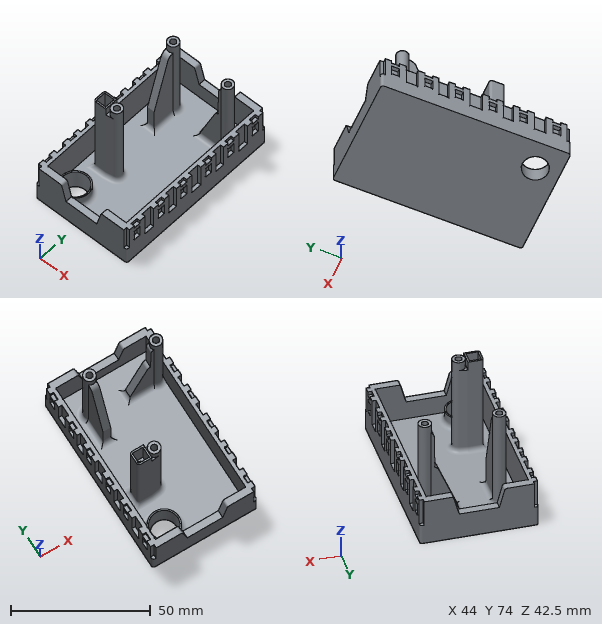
import cadquery as cq
import math

length = 74.0
width = 44.0
wall_top = 18.35
wall = 3.0
floor_top = 3.0
corner_radius = 1.0

gap_bottom = 10.4
gap_bottom_width = 14.9
gap_flare = 15.0
gap_rounding = 1.0

recess_depth = 1.5
groove_bottom = 8.0
groove_sizes = [(0.0, 4.8), (12.6, 4.0), (25.0, 4.5)]
pocket_places = [6.6, 18.5, 31.5]
pocket_width = 3.0
window_bottom = 10.0
window_top = 14.95
notch_bottom = 16.95

post_top = 42.5
post_diameter = 4.9
post_hole_diameter = 2.5
post_hole_depth = 10.0
base_fillet = 2.0

back_post = (-10.95, 24.05)
side_post = (16.4, 23.0)

rib_width = 3.25
rib_top = 39.0
rib_foot_reach = 11.9
back_rib_foot_top = 13.9
back_rib_top_reach = 4.0
back_rib_rounding = 3.0
side_rib_foot_top = 5.1
side_rib_step_reach = 4.2
side_rib_step = 23.5
side_rib_upper_foot_reach = 3.3
side_rib_upper_top_reach = 3.0
side_rib_rounding = 2.0

square_post = (-11.4, -11.7)
square_side = 5.85
square_pocket_side = 4.45
square_pocket_depth = 10.0
square_hole_diameter = 3.0
square_hole_depth = 20.0
twin_post = (-5.8, square_post[1])

ring_center = (square_post[0], -27.7)
ring_diameter = 12.4
ring_top = 8.0
ring_bore_top_diameter = 11.25
ring_bore_diameter = 10.0

selection_margin = 0.1


def block(size_x, size_y, bottom, top, center=(0, 0)):
    return (
        cq.Workplane("XY", origin=(*center, bottom))
        .rect(size_x, size_y)
        .extrude(top - bottom)
    )


def cylinder(diameter, bottom, top, center):
    return cq.Workplane("XY", origin=(*center, bottom)).circle(diameter / 2).extrude(top - bottom)


def cavity():
    return block(width - 2 * wall, length - 2 * wall, floor_top, post_top)


def end_gaps():
    """Flared openings through both end walls, rounded where they meet the wall tops."""
    half_bottom = gap_bottom_width / 2
    half_top = half_bottom + (wall_top - gap_bottom) * math.tan(math.radians(gap_flare))
    rounding_reach = gap_rounding * math.tan(math.radians((90 - gap_flare) / 2))
    slope_x = rounding_reach * math.sin(math.radians(gap_flare))
    slope_z = rounding_reach * math.cos(math.radians(gap_flare))
    center_x = half_top + rounding_reach
    center_z = wall_top - gap_rounding
    middle_angle = math.radians(90 + (90 - gap_flare) / 2)
    arc_x = center_x + gap_rounding * math.cos(middle_angle)
    arc_z = center_z + gap_rounding * math.sin(middle_angle)
    return (
        cq.Workplane("XZ")
        .moveTo(-half_bottom, gap_bottom)
        .lineTo(half_bottom, gap_bottom)
        .lineTo(half_top - slope_x, wall_top - slope_z)
        .threePointArc((arc_x, arc_z), (center_x, wall_top))
        .lineTo(-center_x, wall_top)
        .threePointArc((-arc_x, arc_z), (slope_x - half_top, wall_top - slope_z))
        .close()
        .extrude(length, both=True)
    )


def long_wall_recesses():
    """Grooves, windows, top notches and corner notches, cut into both long walls."""
    depth = 2 * recess_depth
    cuts = cq.Workplane("XY")
    for x in (-width / 2, width / 2):
        for side in (-1, 1):
            for distance, groove_width in groove_sizes:
                cuts = cuts.add(block(depth, groove_width, groove_bottom, wall_top, (x, side * distance)))
            for distance in pocket_places:
                place = (x, side * distance)
                cuts = cuts.add(block(depth, pocket_width, window_bottom, window_top, place))
                cuts = cuts.add(block(depth, pocket_width, notch_bottom, wall_top, place))
            cuts = cuts.add(block(depth, depth, groove_bottom, wall_top, (x, side * length / 2)))
    return cuts.combine()


def tray():
    outside = block(width, length, 0, wall_top).edges("|Z").fillet(corner_radius)
    return outside.cut(cavity()).cut(end_gaps()).cut(long_wall_recesses())


def rib(post, foot_reach, foot_top, top_reach, top, rounding, turn=0):
    """Sloping rib that leans on a post, pointing to -X and then turned about the post axis."""
    x, y = post
    return (
        cq.Workplane("XZ", origin=(0, y, 0))
        .polyline([
            (x, floor_top),
            (x - foot_reach, floor_top),
            (x - foot_reach, foot_top),
            (x - top_reach, top),
            (x, top),
        ])
        .close()
        .extrude(rib_width / 2, both=True)
        .edges(cq.NearestToPointSelector((x - top_reach, y, top)))
        .fillet(rounding)
        .rotate((x, y, 0), (x, y, 1), turn)
    )


def round_post(center):
    return cylinder(post_diameter, floor_top, post_top, center)


def back_post_with_rib():
    leaning_rib = rib(
        back_post, rib_foot_reach, back_rib_foot_top,
        back_rib_top_reach, rib_top, back_rib_rounding, turn=90,
    )
    return round_post(back_post).union(leaning_rib)


def side_post_with_rib():
    lower_rib = rib(
        side_post, rib_foot_reach, side_rib_foot_top,
        side_rib_step_reach, side_rib_step, side_rib_rounding,
    )
    upper_rib = rib(
        side_post, side_rib_upper_foot_reach, side_rib_step,
        side_rib_upper_top_reach, rib_top, side_rib_rounding,
    )
    return round_post(side_post).union(lower_rib).union(upper_rib)


def twin_posts():
    """Square post and round post, joined by a web tangent to the round one."""
    half = square_side / 2
    radius = post_diameter / 2
    side_x = square_post[0] + half
    span = twin_post[0] - side_x
    tangent_angle = math.atan2(half, -span) - math.acos(radius / math.hypot(span, half))
    tangent_x = span + radius * math.cos(tangent_angle)
    tangent_y = radius * math.sin(tangent_angle)
    web = (
        cq.Workplane("XY", origin=(side_x, square_post[1], floor_top))
        .polyline([(0, -half), (tangent_x, -tangent_y), (tangent_x, tangent_y), (0, half)])
        .close()
        .extrude(rib_top - floor_top)
    )
    square = block(square_side, square_side, floor_top, post_top, square_post)
    return square.union(web).union(round_post(twin_post))


def ring():
    return cylinder(ring_diameter, floor_top, ring_top, ring_center)


def edges_between(body, low, high):
    """Edges of the body whose centers lie inside a box, given by two corners."""
    low_corner = tuple(value - selection_margin for value in low)
    high_corner = tuple(value + selection_margin for value in high)
    return body.edges(cq.selectors.BoxSelector(low_corner, high_corner))


def floor_with_posts():
    """Floor and everything standing on it, blended at the base and trimmed to the cavity.

    The floor starts oversized so that the blends can run past the walls before trimming.
    """
    body = block(2 * width, 2 * length, 0, floor_top)
    for standing in (back_post_with_rib(), side_post_with_rib(), twin_posts(), ring()):
        body = body.union(standing)

    base_edges = edges_between(
        body, (-width / 2, -length / 2, floor_top), (width / 2, length / 2, floor_top)
    )
    body = base_edges.fillet(base_fillet)

    outer_x = square_post[0] - square_side / 2
    low_y = square_post[1] - square_side / 2
    high_y = square_post[1] + square_side / 2
    post_corners = edges_between(body, (outer_x, low_y, floor_top), (outer_x, high_y, post_top))
    body = post_corners.edges("|Z").fillet(corner_radius)

    return body.intersect(block(width - 2 * wall, length - 2 * wall, 0, post_top))


def ring_bore():
    """Bore through the ring and the floor, narrowing evenly towards the bottom."""
    return (
        cq.Workplane("XY", origin=(*ring_center, 0))
        .circle(ring_bore_diameter / 2)
        .workplane(offset=ring_top)
        .circle(ring_bore_top_diameter / 2)
        .loft()
    )


def holes():
    """Ring bore, blind holes in the round posts, and the stepped pocket in the square post."""
    cuts = ring_bore()
    for post in (back_post, side_post, twin_post):
        cuts = cuts.union(cylinder(post_hole_diameter, post_top - post_hole_depth, post_top, post))
    pocket = block(
        square_pocket_side, square_pocket_side, post_top - square_pocket_depth, post_top, square_post
    )
    hole = cylinder(square_hole_diameter, post_top - square_hole_depth, post_top, square_post)
    return cuts.union(pocket).union(hole)


result = tray().union(floor_with_posts()).cut(holes())